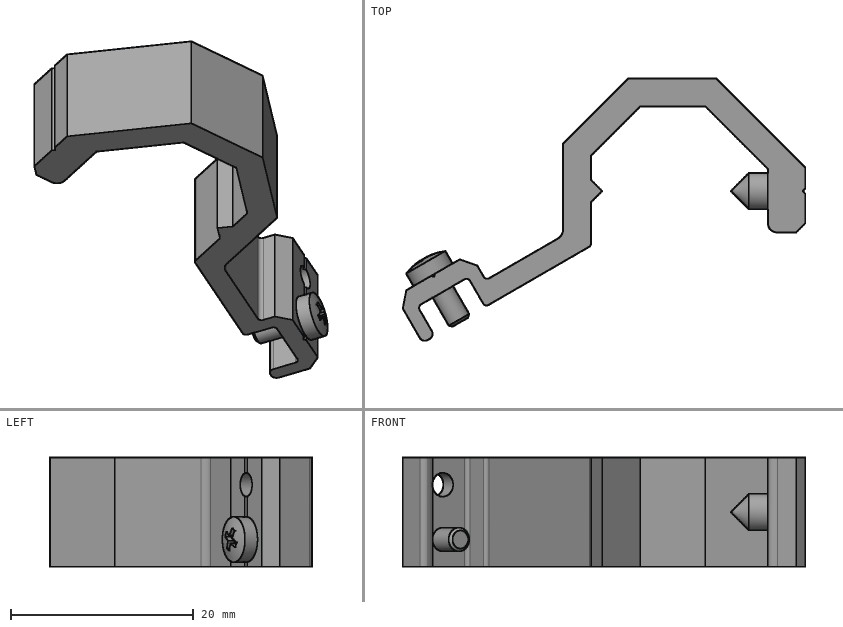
import cadquery as cq
import math

depth = 12.0
mid_z = depth / 2

hook_width = 26.55
hook_top = 12.35
wall = 3.1
right_wall = 4.1
inner_right = hook_width - right_wall
inner_top = hook_top - wall
left_shoulder = 5.2
right_shoulder = 2.6
inner_left_shoulder = 3.9
inner_right_shoulder = 2.42
hook_end = -4.55
end_chamfer = 1.0
end_round = 1.0
ridge_height = 1.212
mark_depth = 0.25

arm_angle = math.radians(30)
channel_x = -14.25
channel_y = -9.15
channel_half = 4.7
leg = 1.55
inner_half = channel_half - leg
web = 2.15
channel_depth = 5.9
arm_thickness = 2.5
arm_top = arm_thickness - channel_depth
corner_run = 1.32
corner_drop = 1.55
small_round = 0.45
leg_end_round = 0.65
elbow_round = 1.2

hole_diameter = 2.6
screw_z = depth / 4
spare_hole_z = depth - screw_z
head_diameter = 5.0
head_height = 1.6
dome_height = 0.5
screw_length = 6.0
tip_chamfer = 0.3
recess_span = 2.5
recess_width = 0.6
recess_depth = 0.9
recess_turn = 62

pin_diameter = 4.0
pin_straight = 2.07
pin_point = 2.0


def channel_point(along, out):
    """Map a point of the turned channel frame to X, Y."""
    x = channel_x + along * math.cos(arm_angle) - out * math.sin(arm_angle)
    y = channel_y + along * math.sin(arm_angle) + out * math.cos(arm_angle)
    return (x, y)


def arm_point_at(x, out):
    """Point at the given X on the arm face that lies at offset out."""
    along = (x - channel_x + out * math.sin(arm_angle)) / math.cos(arm_angle)
    return channel_point(along, out)


def round_edges(body, points, radius):
    """Round the Z edges that pass through the given profile points."""
    for x, y in points:
        edge = cq.selectors.BoxSelector(
            (x - radius / 4, y - radius / 4, -depth),
            (x + radius / 4, y + radius / 4, 2 * depth),
        )
        body = body.edges("|Z").edges(edge).fillet(radius)
    return body


def channel_plane(z):
    """Plane on the channel web at height z; its normal points out along the screw axis."""
    return cq.Plane(
        origin=(channel_x, channel_y, z),
        xDir=(math.cos(arm_angle), math.sin(arm_angle), 0),
        normal=(-math.sin(arm_angle), math.cos(arm_angle), 0),
    )


def make_clamp():
    outer_elbow = arm_point_at(0, arm_top)
    inner_elbow = arm_point_at(wall, -channel_depth)
    arm_root = channel_point(channel_half, arm_top)
    arm_heel = channel_point(inner_half, -channel_depth)
    web_corners = [channel_point(inner_half, -web), channel_point(-inner_half, -web)]
    leg_ends = [
        channel_point(-inner_half, -channel_depth),
        channel_point(-channel_half, -channel_depth),
    ]
    bevel_ends = [
        channel_point(-channel_half, -corner_drop),
        channel_point(channel_half, -corner_drop),
    ]
    hook_inner_end = (inner_right, hook_end)

    left_run = hook_top - left_shoulder
    right_run = hook_top - right_shoulder
    outer_hook = [
        outer_elbow,
        (0, left_shoulder),
        (left_run, hook_top),
        (hook_width - right_run, hook_top),
        (hook_width, right_shoulder),
        (hook_width, mark_depth),
        (hook_width - mark_depth, 0),
        (hook_width, -mark_depth),
        (hook_width, hook_end + end_chamfer),
        (hook_width - end_chamfer, hook_end),
        hook_inner_end,
    ]
    inner_hook = [
        (inner_right, inner_right_shoulder),
        (inner_right - (inner_top - inner_right_shoulder), inner_top),
        (wall + inner_top - inner_left_shoulder, inner_top),
        (wall, inner_left_shoulder),
        (wall, ridge_height),
        (wall + ridge_height, 0),
        (wall, -ridge_height),
        inner_elbow,
    ]
    channel = [
        arm_heel,
        *web_corners,
        *leg_ends,
        bevel_ends[0],
        channel_point(corner_run - channel_half, 0),
        channel_point(-mark_depth, 0),
        channel_point(0, -mark_depth),
        channel_point(mark_depth, 0),
        channel_point(channel_half - corner_run, 0),
        bevel_ends[1],
        arm_root,
    ]
    body = cq.Workplane("XY").polyline(outer_hook + inner_hook + channel).close().extrude(depth)

    body = round_edges(body, [outer_elbow], elbow_round)
    body = round_edges(body, [hook_inner_end], end_round)
    body = round_edges(body, leg_ends, leg_end_round)
    body = round_edges(body, [inner_elbow, arm_root, arm_heel, *web_corners], small_round)

    for z in (screw_z, spare_hole_z):
        hole = cq.Workplane(channel_plane(z)).circle(hole_diameter / 2).extrude(-web)
        body = body.cut(hole)
    return body


def make_screw():
    plane = channel_plane(screw_z)
    head_radius = head_diameter / 2
    shank_radius = hole_diameter / 2
    dome_radius = (head_radius**2 + dome_height**2) / (2 * dome_height)
    dome_mid_x = head_radius / 2
    dome_sag = dome_radius - math.sqrt(dome_radius**2 - dome_mid_x**2)
    head_top = head_height + dome_height
    body = (
        cq.Workplane(plane)
        .transformed(rotate=(90, 0, 0))
        .moveTo(0, -screw_length)
        .lineTo(shank_radius - tip_chamfer, -screw_length)
        .lineTo(shank_radius, tip_chamfer - screw_length)
        .lineTo(shank_radius, 0)
        .lineTo(head_radius, 0)
        .lineTo(head_radius, head_height)
        .threePointArc((dome_mid_x, head_top - dome_sag), (0, head_top))
        .close()
        .revolve(360, (0, 0), (0, 1))
    )
    for turn in (recess_turn, recess_turn + 90):
        slot = (
            cq.Workplane(plane)
            .workplane(offset=head_top)
            .transformed(rotate=(0, 0, turn))
            .rect(recess_span, recess_width)
            .extrude(-recess_depth)
        )
        body = body.cut(slot)
    return body


def make_pin():
    radius = pin_diameter / 2
    shoulder_x = inner_right - pin_straight
    return (
        cq.Workplane("XY", origin=(0, 0, mid_z))
        .moveTo(inner_right, 0)
        .lineTo(inner_right, radius)
        .lineTo(shoulder_x, radius)
        .lineTo(shoulder_x - pin_point, 0)
        .close()
        .revolve(360, (0, 0), (1, 0))
    )


clamp = make_clamp()
screw = make_screw()
pin = make_pin()

result = cq.Compound.makeCompound([clamp.val(), screw.val(), pin.val()])